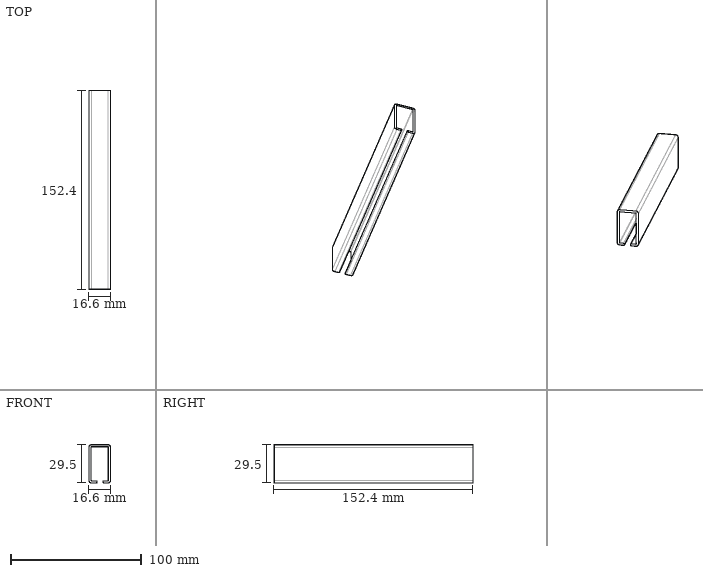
import cadquery as cq

width = 16.64
length = 152.4
height = 29.46

wall = 1.778
outer_radius = 2.03
inner_radius = outer_radius - wall
slot_width = 4.37
slot_offset = 0.23

lip_radius = wall / 2
bottom_wall_z = lip_radius - height / 2


def rounded_bar(bar_width, bar_height, edge_radius):
    """Full-length rectangular bar with its long edges rounded."""
    bar = cq.Workplane("XY").box(bar_width, length, bar_height)
    return bar.edges("|Y").fillet(edge_radius)


def tube():
    """Closed rectangular tube with bends of constant wall thickness."""
    outside = rounded_bar(width, height, outer_radius)
    bore = rounded_bar(width - 2 * wall, height - 2 * wall, inner_radius)
    return outside.cut(bore)


def slot():
    """Bottom opening, cut back to where the rounded ends of the lips begin."""
    cut_width = slot_width + 2 * lip_radius
    return cq.Workplane("XY").box(cut_width, length, wall).translate((slot_offset, 0, bottom_wall_z))


def lip_end(side):
    """Full-length half-round end of one lip; side is -1 for the -X lip and +1 for the +X lip."""
    x = slot_offset + side * (slot_width / 2 + lip_radius)
    return (
        cq.Workplane("XZ", origin=(0, length / 2, 0))
        .moveTo(x, bottom_wall_z + lip_radius)
        .threePointArc((x - side * lip_radius, bottom_wall_z), (x, bottom_wall_z - lip_radius))
        .close()
        .extrude(length)
    )


channel = tube().cut(slot())
for side in (-1, 1):
    channel = channel.union(lip_end(side))

result = channel